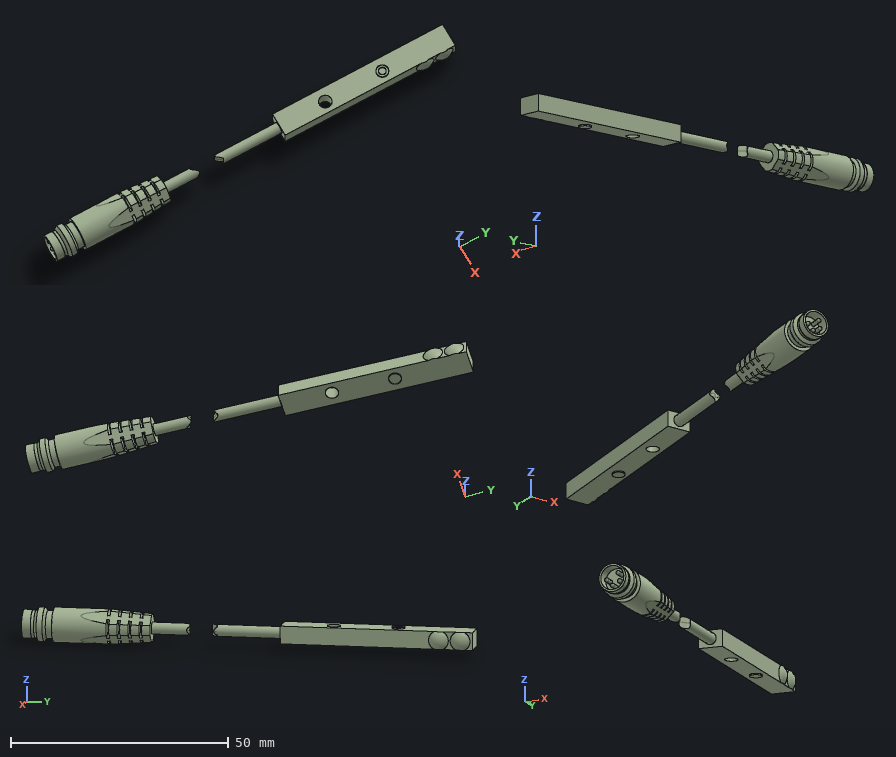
import cadquery as cq

overall_length = 105.4
cable_diameter = 2.8
cable_radius = cable_diameter / 2

housing_length = 45.0
housing_width = 6.0
housing_height = 4.2
housing_front = overall_length - housing_length

hole_offset = 0.3
hole_diameter = 3.1
hole_from_end = 32.9
screw_from_end = 17.8
screw_diameter = 3.0
screw_protrusion = 0.3
socket_diameter = 1.8
socket_depth = 0.3

lens_sphere_radius = 3.2
lens_protrusion = 1.0
first_lens_from_end = 3.0
lens_spacing = 5.1

sensor_break = 44.6
plug_break = 38.2
wave_height = 0.7

boot_end = 30.0
boot_end_radius = 3.4
taper_end = 20.3
body_radius = 4.1
body_front = 7.2
neck_radius = 3.3
collar_radius = 4.0
collar_rear = 5.6
collar_rim_rear = 5.0
collar_rim_front = 3.6
collar_front = 2.8
nose_rear = 2.1
nose_radius = 3.4

flat_count = 4
diagonal_angle = 45.0
flat_end_distance = 3.1
flat_runout = 13.9

groove_count = 4
first_groove_rear = 28.1
groove_width = 0.6
groove_pitch = 2.5
web_thickness = 1.2

bore_diameter = 5.7
bore_depth = 3.2
contact_diameter = 1.0
contact_length = 2.8
contact_tip_rounding = 0.4
contact_circle_radius = 1.7
contact_positions = 5
contact_count = 4
first_contact_angle = 45.0


def cylinder_along_y(radius, y_start, y_end, x=0.0):
    """Solid cylinder parallel to Y, offset from the axis along X."""
    start = cq.Vector(x, y_start, 0)
    return cq.Workplane(cq.Solid.makeCylinder(radius, y_end - y_start, start, cq.Vector(0, 1, 0)))


def cable_piece(y_wave, y_straight):
    """Length of cable with one wavy broken end and one straight end."""
    trough = (-cable_radius / 2, y_wave - wave_height)
    crest = (cable_radius / 2, y_wave + wave_height)
    outline = (
        cq.Workplane("XY")
        .moveTo(-cable_diameter, y_wave)
        .lineTo(-cable_radius, y_wave)
        .spline([trough, crest, (cable_radius, y_wave)], includeCurrent=True)
        .lineTo(cable_diameter, y_wave)
        .lineTo(cable_diameter, y_straight)
        .lineTo(-cable_diameter, y_straight)
        .close()
        .extrude(cable_diameter, both=True)
    )
    y_low = min(y_wave - 2 * wave_height, y_straight)
    y_high = max(y_wave + 2 * wave_height, y_straight)
    return outline.intersect(cylinder_along_y(cable_radius, y_low, y_high))


def lens(from_end):
    """Domed lens on the +X side, cut flat at the top and bottom of the housing."""
    side = housing_width / 2
    centre_x = side + lens_protrusion - lens_sphere_radius
    y = overall_length - from_end
    ball = cq.Workplane("XY").sphere(lens_sphere_radius).translate((centre_x, y, 0))
    limit = (
        cq.Workplane("XY")
        .box(lens_protrusion, 2 * lens_sphere_radius, housing_height, centered=(False, True, True))
        .translate((side, y, 0))
    )
    return ball.intersect(limit)


def vertical_cylinder(diameter, z_bottom, z_top, from_end):
    """Cylinder parallel to Z on the line of the screw and the mounting hole."""
    return (
        cq.Workplane("XY", origin=(hole_offset, overall_length - from_end, z_bottom))
        .circle(diameter / 2)
        .extrude(z_top - z_bottom)
    )


def make_sensor():
    """Housing with lenses, screw, mounting hole and its length of cable."""
    half_height = housing_height / 2
    screw_top = half_height + screw_protrusion
    body = (
        cq.Workplane("XY")
        .box(housing_width, housing_length, housing_height, centered=(True, False, True))
        .translate((0, housing_front, 0))
    )
    for from_end in (first_lens_from_end, first_lens_from_end + lens_spacing):
        body = body.union(lens(from_end))
    body = body.union(vertical_cylinder(screw_diameter, -screw_top, screw_top, screw_from_end))
    body = body.cut(vertical_cylinder(socket_diameter, screw_top - socket_depth, screw_top, screw_from_end))
    body = body.cut(vertical_cylinder(hole_diameter, -half_height, half_height, hole_from_end))
    return body.union(cable_piece(sensor_break, housing_front))


def plug_blank():
    """Turned shape of the plug with its tapered boot, neck, collar and nose."""
    profile = [
        (0, boot_end),
        (boot_end_radius, boot_end),
        (body_radius, taper_end),
        (body_radius, body_front),
        (neck_radius, body_front),
        (neck_radius, collar_rear),
        (collar_radius, collar_rim_rear),
        (collar_radius, collar_rim_front),
        (neck_radius, collar_front),
        (neck_radius, nose_rear),
        (nose_radius, nose_rear),
        (nose_radius, 0),
        (0, 0),
    ]
    return cq.Workplane("XY").polyline(profile).close().revolve(360, (0, 0, 0), (0, 1, 0))


def boot_flat_cutter():
    """Wedge above one slanted flat, before it is turned to its place."""
    return (
        cq.Workplane("YZ")
        .polyline([(boot_end, flat_end_distance), (flat_runout, body_radius), (boot_end, body_radius)])
        .close()
        .extrude(body_radius, both=True)
    )


def groove_cutter(y_rear):
    """Ring-shaped groove interrupted by a diagonal cross around the cable."""
    y_front = y_rear - groove_width
    cutter = cylinder_along_y(body_radius, y_front, y_rear)
    cutter = cutter.cut(cylinder_along_y(cable_radius, y_front, y_rear))
    web = (
        cq.Workplane("XY")
        .box(2 * body_radius, groove_width, web_thickness)
        .translate((0, (y_front + y_rear) / 2, 0))
    )
    for angle in (diagonal_angle, -diagonal_angle):
        cutter = cutter.cut(web.rotate((0, 0, 0), (0, 1, 0), angle))
    return cutter


def contacts():
    """Contact pins on a circle of equal steps with one position left empty."""
    tip = bore_depth - contact_length
    pin = cylinder_along_y(contact_diameter / 2, tip, bore_depth, contact_circle_radius)
    pin = pin.faces("<Y").fillet(contact_tip_rounding)
    step = 360 / contact_positions
    for index in range(contact_count):
        yield pin.rotate((0, 0, 0), (0, 1, 0), index * step - first_contact_angle)


def make_plug():
    """Plug with flats, grooves, socket, contacts and its length of cable."""
    body = plug_blank()
    for index in range(flat_count):
        angle = diagonal_angle + index * 360 / flat_count
        body = body.cut(boot_flat_cutter().rotate((0, 0, 0), (0, 1, 0), angle))
    for index in range(groove_count):
        body = body.cut(groove_cutter(first_groove_rear - index * groove_pitch))
    body = body.cut(cylinder_along_y(bore_diameter / 2, 0, bore_depth))
    for pin in contacts():
        body = body.union(pin)
    return body.union(cable_piece(plug_break, boot_end))


sensor = make_sensor()
plug = make_plug()

result = cq.Compound.makeCompound([sensor.val(), plug.val()])